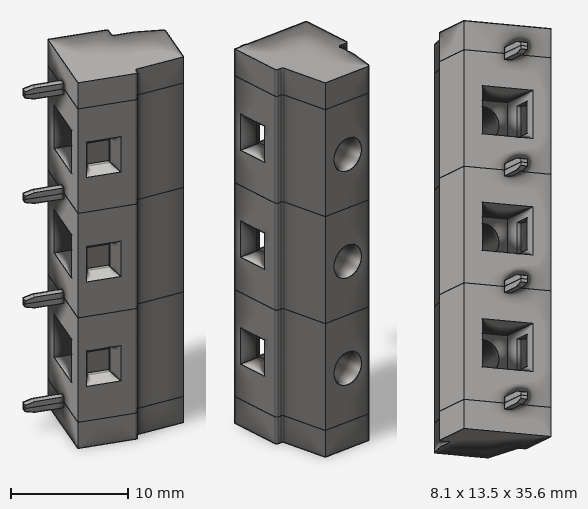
import cadquery as cq
import math


pole_count = 3
pitch = 10.16
end_length = pitch / 4
block_length = pole_count * pitch + 2 * end_length

body_width = 8.1
body_depth = 10.0
half_width = body_width / 2
shoulder_y = 5.4
shoulder_radius = 0.2
back_edge_radius = 0.3
neck_left_x = -2.95
left_taper_start_y = 7.4
neck_right_x = 3.35
taper = math.tan(math.radians(10))

cavity_width = 4.7
cavity_height = 4.2
cavity_depth = shoulder_y
screw_hole_diameter = 3.1

throat_width = 2.1
throat_height = 2.8
throat_length = 0.35
throat_center_y = 2.3
funnel_flare_y = 0.5
funnel_flare_z = 0.32

pin_width = 0.6
pin_height = 1.05
pin_length = 3.5
pin_tip_height = 0.6
pin_tip_length = 0.85


def body_segment(bottom_z, length):
    """A stretch of the housing cross-section, without openings or pins."""
    back_left_x = neck_left_x + taper * (body_depth - left_taper_start_y)
    back_right_x = neck_right_x - taper * (body_depth - shoulder_y)
    outline = [
        (-half_width, 0),
        (half_width, 0),
        (half_width, shoulder_y),
        (neck_right_x, shoulder_y),
        (back_right_x, body_depth),
        (back_left_x, body_depth),
        (neck_left_x, left_taper_start_y),
        (neck_left_x, shoulder_y),
        (-half_width, shoulder_y),
    ]
    segment = cq.Workplane("XY", origin=(0, 0, bottom_z)).polyline(outline).close().extrude(length)

    rounded_corners = [
        (half_width, shoulder_y, shoulder_radius),
        (neck_right_x, shoulder_y, shoulder_radius),
        (back_left_x, body_depth, back_edge_radius),
        (neck_left_x, shoulder_y, shoulder_radius),
        (-half_width, shoulder_y, shoulder_radius),
    ]
    middle_z = bottom_z + length / 2
    for x, y, radius in rounded_corners:
        corner_edge = cq.NearestToPointSelector((x, y, middle_z))
        segment = segment.edges(corner_edge).fillet(radius)
    return segment


def half_pin(joint_z, side):
    """Half of the pin on a joint plane: above it for side = 1, below it for side = -1."""
    outline = [
        (0, 0),
        (-pin_length, 0),
        (-pin_length, side * pin_tip_height / 2),
        (-pin_length + pin_tip_length, side * pin_height / 2),
        (0, side * pin_height / 2),
    ]
    plane = cq.Workplane("YZ", origin=(0, 0, joint_z))
    return plane.polyline(outline).close().extrude(pin_width / 2, both=True)


def cavity(center_z):
    """Square front cavity and the screw hole running on to the back face."""
    front = cq.Workplane("XZ", origin=(0, 0, center_z))
    pocket = front.rect(cavity_width, cavity_height).extrude(-cavity_depth)
    screw_hole = front.circle(screw_hole_diameter / 2).extrude(-body_depth)
    return pocket.union(screw_hole)


def wire_entry(center_z):
    """Straight throat in the +X cavity wall, flaring out to the side face."""
    throat_end_x = cavity_width / 2 + throat_length
    throat = (
        cq.Workplane("YZ", origin=(0, throat_center_y, center_z))
        .rect(throat_width, throat_height)
        .extrude(throat_end_x)
    )
    funnel = (
        cq.Workplane("YZ", origin=(throat_end_x, throat_center_y, center_z))
        .rect(throat_width, throat_height)
        .workplane(offset=half_width - throat_end_x)
        .rect(throat_width + 2 * funnel_flare_y, throat_height + 2 * funnel_flare_z)
        .loft(combine=True)
    )
    return throat.union(funnel)


def pole_module(bottom_z):
    center_z = bottom_z + pitch / 2
    module = body_segment(bottom_z, pitch)
    module = module.cut(cavity(center_z)).cut(wire_entry(center_z))
    return module.union(half_pin(bottom_z, 1)).union(half_pin(bottom_z + pitch, -1))


first_joint_z = end_length - block_length / 2
last_joint_z = first_joint_z + pole_count * pitch

bottom_end = body_segment(first_joint_z - end_length, end_length).union(half_pin(first_joint_z, -1))
top_end = body_segment(last_joint_z, end_length).union(half_pin(last_joint_z, 1))
pole_modules = [pole_module(first_joint_z + index * pitch) for index in range(pole_count)]

result = cq.Compound.makeCompound(
    [bottom_end.val(), *[module.val() for module in pole_modules], top_end.val()]
)